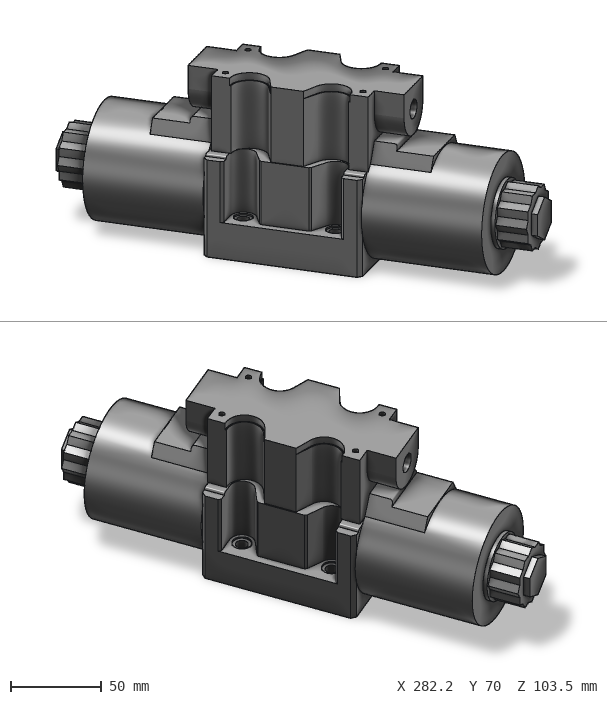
import cadquery as cq
import math


body_half_x = 46.4
body_half_y = 35.0
body_top_z = 59.0
body_corner_chamfer = 2.5
shoulder_z = 57.5
shoulder_outer_y = 30.1
shoulder_inner_y = shoulder_outer_y - (body_top_z - shoulder_z)

bolt_x = 27.0
bolt_y = 23.0
bolt_hole_dia = 7.0
spotface_dia = 11.0
spotface_depth = 1.0
body_pocket_floor_z = 21.5
body_pocket_radius = 7.4
pocket_mouth_flare_x = 1.7
pocket_mouth_flare_y = 1.2
body_rib_half_x = 15.3
body_rib_half_y = 30.1
body_rib_chamfer_x = 1.3
body_rib_chamfer_y = 1.1

cover_shift_x = 1.0
cover_half_x = 45.9
cover_post_half_y = 25.0
cover_top_z = 103.5
cover_pocket_x = 24.0
cover_pocket_y = 24.0
cover_pocket_radius = 10.5
cover_rib_half_x = 9.5
cover_rib_half_y = 29.3
cover_rim_depth = 4.4
cover_rim_step = 0.7
cover_hole_x = 40.3
cover_hole_y = 18.0
cover_hole_dia = 3.4
cover_hole_depth = 8.0

conduit_half_span = 63.3
conduit_radius = 15.0
conduit_axis_depth = 14.0
conduit_axis_z = cover_top_z - conduit_axis_depth
conduit_hole_dia = 11.0
conduit_hole_depth = conduit_half_span - cover_half_x

coil_axis_z = 35.25
coil_radius = 34.5
coil_end_x = 116.9
flange_radius = 20.0
flange_end_x = 119.4
nut_tip_radius = 18.8
nut_valley_radius = 16.8
nut_tip_count = 12
nut_end_x = 137.4
hex_across_flats = 22.0
hex_end_x = 141.1

pad_side_angle = math.radians(29)
pad_base_z = 60.0
pad_low_top_z = 70.3
pad_low_end_x = 82.3
pad_high_top_z = 73.8
pad_high_end_x = 60.6
pad_high_half_y = 15.0
pad_high_end_round = 1.8
plug_pin_dia = 4.0
plug_pin_z = 68.0
plug_pin_engagement = 3.0

signs = (-1, 1)
quadrants = [(sx, sy) for sx in signs for sy in signs]


def x_prism(x_start, x_end):
    """Sketch plane at x_start (sketch x = Y, sketch y = Z) and its extrusion length."""
    return cq.Workplane("YZ", origin=(x_start, 0, 0)), x_end - x_start


def bolt_pocket(centre, radius, mouth, rib, z_bottom, z_top):
    """Pocket in the +X +Y quadrant, open toward +Y.

    mouth: points from the open side inward to the straight wall.
    rib: points from the end of the sloping flank outward to the open side.
    The flank starts at the first rib point and is tangent to the round end.
    """
    cx, cy = centre
    dx = rib[0][0] - cx
    dy = rib[0][1] - cy
    flank_angle = math.atan2(dy, dx) + math.acos(radius / math.hypot(dx, dy))
    middle_angle = (flank_angle + 2 * math.pi) / 2

    def on_round(angle):
        return (cx + radius * math.cos(angle), cy + radius * math.sin(angle))

    outline = cq.Workplane("XY", origin=(0, 0, z_bottom)).moveTo(*mouth[0])
    for point in mouth[1:]:
        outline = outline.lineTo(*point)
    outline = outline.lineTo(cx + radius, cy)
    outline = outline.threePointArc(on_round(middle_angle), on_round(flank_angle))
    for point in rib:
        outline = outline.lineTo(*point)
    return outline.close().extrude(z_top - z_bottom)


def in_quadrant(shape, sx, sy):
    """Mirror a +X +Y shape into the quadrant with the given signs."""
    if sx < 0:
        shape = shape.mirror("YZ")
    if sy < 0:
        shape = shape.mirror("XZ")
    return shape


def make_body():
    body = cq.Workplane("XY").box(2 * body_half_x, 2 * body_half_y, body_top_z, centered=(True, True, False))
    body = body.edges("|Z").chamfer(body_corner_chamfer)

    wall_x = bolt_x + body_pocket_radius
    mouth = [
        (wall_x + pocket_mouth_flare_x, body_half_y),
        (wall_x, body_half_y - pocket_mouth_flare_y),
    ]
    rib_face_x = body_rib_half_x - body_rib_chamfer_x
    rib = [
        (body_rib_half_x, body_rib_half_y - body_rib_chamfer_y),
        (rib_face_x, body_rib_half_y),
        (0, body_rib_half_y),
        (0, body_half_y),
    ]
    pocket = bolt_pocket((bolt_x, bolt_y), body_pocket_radius, mouth, rib, body_pocket_floor_z, body_top_z)

    plane, length = x_prism(wall_x, body_half_x)
    round_radius = shoulder_outer_y - shoulder_inner_y
    round_middle_offset = round_radius * math.sin(math.pi / 4)
    round_middle = (shoulder_inner_y + round_middle_offset, shoulder_z + round_middle_offset)
    shoulder = (
        plane.moveTo(shoulder_inner_y, body_top_z)
        .threePointArc(round_middle, (shoulder_outer_y, shoulder_z))
        .lineTo(body_half_y, shoulder_z)
        .lineTo(body_half_y, body_top_z)
        .close()
        .extrude(length)
    )

    for sx, sy in quadrants:
        body = body.cut(in_quadrant(pocket, sx, sy))
        body = body.cut(in_quadrant(shoulder, sx, sy))
    return body


def make_cover():
    height = cover_top_z - body_top_z
    cover = cq.Workplane("XY", origin=(0, 0, body_top_z)).box(
        2 * cover_half_x, 2 * cover_rib_half_y, height, centered=(True, True, False))

    def cover_pocket(radius, z_bottom):
        mouth = [
            (cover_half_x, cover_rib_half_y),
            (cover_half_x, cover_post_half_y),
            (cover_pocket_x + radius, cover_post_half_y),
        ]
        rib = [(cover_rib_half_x, cover_rib_half_y)]
        centre = (cover_pocket_x, cover_pocket_y)
        return bolt_pocket(centre, radius, mouth, rib, z_bottom, cover_top_z)

    pocket = cover_pocket(cover_pocket_radius, body_top_z)
    rim = cover_pocket(cover_pocket_radius + cover_rim_step, cover_top_z - cover_rim_depth)
    for sx, sy in quadrants:
        cover = cover.cut(in_quadrant(pocket, sx, sy))
        cover = cover.cut(in_quadrant(rim, sx, sy))

    cover = cover.union(make_conduit_bosses())
    for sx in signs:
        face = cq.Workplane("YZ", origin=(sx * conduit_half_span, 0, conduit_axis_z))
        cover = cover.cut(face.circle(conduit_hole_dia / 2).extrude(-sx * conduit_hole_depth))

    screw_points = [(sx * cover_hole_x, sy * cover_hole_y) for sx, sy in quadrants]
    screw_holes = cq.Workplane("XY", origin=(0, 0, cover_top_z)).pushPoints(screw_points)
    cover = cover.cut(screw_holes.circle(cover_hole_dia / 2).extrude(-cover_hole_depth))
    return cover.translate((cover_shift_x, 0, 0))


def make_conduit_bosses():
    """The two ends of a round-bottomed bar that spans the cover along X."""
    plane, length = x_prism(-conduit_half_span, conduit_half_span)
    bar = (
        plane.moveTo(-conduit_radius, cover_top_z)
        .lineTo(-conduit_radius, conduit_axis_z)
        .threePointArc((0, conduit_axis_z - conduit_radius), (conduit_radius, conduit_axis_z))
        .lineTo(conduit_radius, cover_top_z)
        .close()
        .extrude(length)
    )
    middle = cq.Workplane("XY").box(2 * cover_half_x, 2 * cover_rib_half_y, 2 * cover_top_z)
    return bar.cut(middle)


def make_terminal_pad():
    """Two-step slope-sided pad on top of the +X coil, with its plug pin."""
    def half_y(z):
        return pad_high_half_y + (pad_high_top_z - z) * math.tan(pad_side_angle)

    def step(top_z, end_x):
        plane, length = x_prism(body_half_x, end_x)
        return plane.polyline([
            (-half_y(pad_base_z), pad_base_z),
            (half_y(pad_base_z), pad_base_z),
            (half_y(top_z), top_z),
            (-half_y(top_z), top_z),
        ]).close().extrude(length)

    pin_start_x = body_half_x - plug_pin_engagement
    plane, length = x_prism(pin_start_x, pad_high_end_x)
    pin = plane.center(0, plug_pin_z).circle(plug_pin_dia / 2).extrude(length)
    low_step = step(pad_low_top_z, pad_low_end_x)
    high_step = step(pad_high_top_z, pad_high_end_x).faces(">X").edges(">Z").fillet(pad_high_end_round)
    return low_step.union(high_step).union(pin)


def make_solenoid():
    """Coil, flange, star nut, hexagon and terminal pad on the +X end."""
    def on_axis(x):
        return cq.Workplane("YZ", origin=(x, 0, coil_axis_z))

    star = []
    for i in range(2 * nut_tip_count):
        radius = nut_tip_radius if i % 2 == 0 else nut_valley_radius
        angle = i * math.pi / nut_tip_count
        star.append((radius * math.cos(angle), radius * math.sin(angle)))
    hex_circle_dia = hex_across_flats / math.cos(math.pi / 6)

    coil = on_axis(body_half_x).circle(coil_radius).extrude(coil_end_x - body_half_x)
    flange = on_axis(coil_end_x).circle(flange_radius).extrude(flange_end_x - coil_end_x)
    nut = on_axis(flange_end_x).polyline(star).close().extrude(nut_end_x - flange_end_x)
    hexagon = on_axis(nut_end_x).transformed(rotate=(0, 0, 90)).polygon(6, hex_circle_dia)
    hexagon = hexagon.extrude(hex_end_x - nut_end_x)
    return coil.union(flange).union(nut).union(hexagon).union(make_terminal_pad())


def make_bolt_holes():
    points = [(sx * bolt_x, sy * bolt_y) for sx, sy in quadrants]
    floor = cq.Workplane("XY", origin=(0, 0, body_pocket_floor_z)).pushPoints(points)
    through = floor.circle(bolt_hole_dia / 2).extrude(-body_pocket_floor_z)
    spotface = floor.circle(spotface_dia / 2).extrude(-spotface_depth)
    return through.union(spotface)


solenoid = make_solenoid()
result = (
    make_body()
    .union(make_cover())
    .union(solenoid)
    .union(solenoid.mirror("YZ"))
    .cut(make_bolt_holes())
)